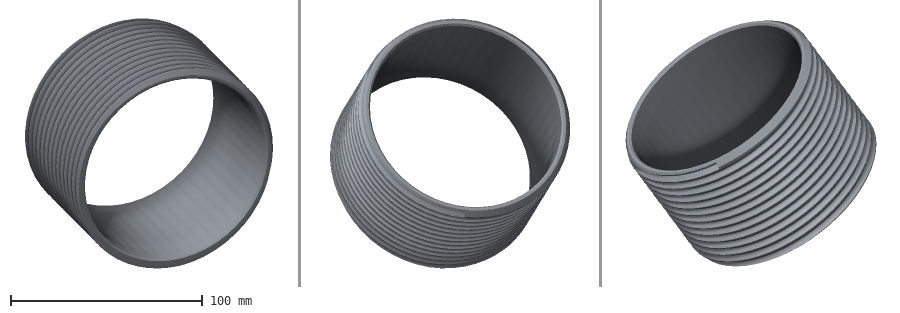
import cadquery as cq
import math

length = 70.0
outer_radius = 56.5
bore_radius = 51.4
bore_chamfer = 1.0

pitch = 5.08
flank_half_angle = math.radians(30)
sharp_height = pitch / (2 * math.tan(flank_half_angle))
thread_depth = 5 / 8 * sharp_height
root_flat = pitch / 4
root_radius = outer_radius - thread_depth
groove_start = 1.7
groove_overshoot = 0.3
runout = pitch


def make_pipe():
    """Plain tube, with an outside entry chamfer down to the thread root and both bore mouths chamfered."""
    tube_half_section = (
        cq.Workplane("XY")
        .moveTo(0, bore_radius + bore_chamfer)
        .lineTo(0, root_radius)
        .lineTo(thread_depth, outer_radius)
        .lineTo(length, outer_radius)
        .lineTo(length, bore_radius + bore_chamfer)
        .lineTo(length - bore_chamfer, bore_radius)
        .lineTo(bore_chamfer, bore_radius)
        .close()
    )
    return tube_half_section.revolve(360, (0, 0, 0), (1, 0, 0))


def make_groove_cutter():
    """Trapezoid swept along a helix; built around Z, then laid along X so that it begins at -Z."""
    cutter_height = thread_depth + groove_overshoot
    half_root = root_flat / 2
    half_mouth = half_root + cutter_height * math.tan(flank_half_angle)
    mouth_radius = root_radius + cutter_height
    helix = cq.Wire.makeHelix(pitch, length - groove_start + runout, root_radius)
    cutter = (
        cq.Workplane("XZ")
        .moveTo(root_radius, -half_root)
        .lineTo(root_radius, half_root)
        .lineTo(mouth_radius, half_mouth)
        .lineTo(mouth_radius, -half_mouth)
        .close()
        .sweep(cq.Workplane(helix), isFrenet=True)
    )
    return cutter.rotate((0, 0, 0), (0, 1, 0), 90).translate((groove_start, 0, 0))


result = make_pipe().cut(make_groove_cutter())